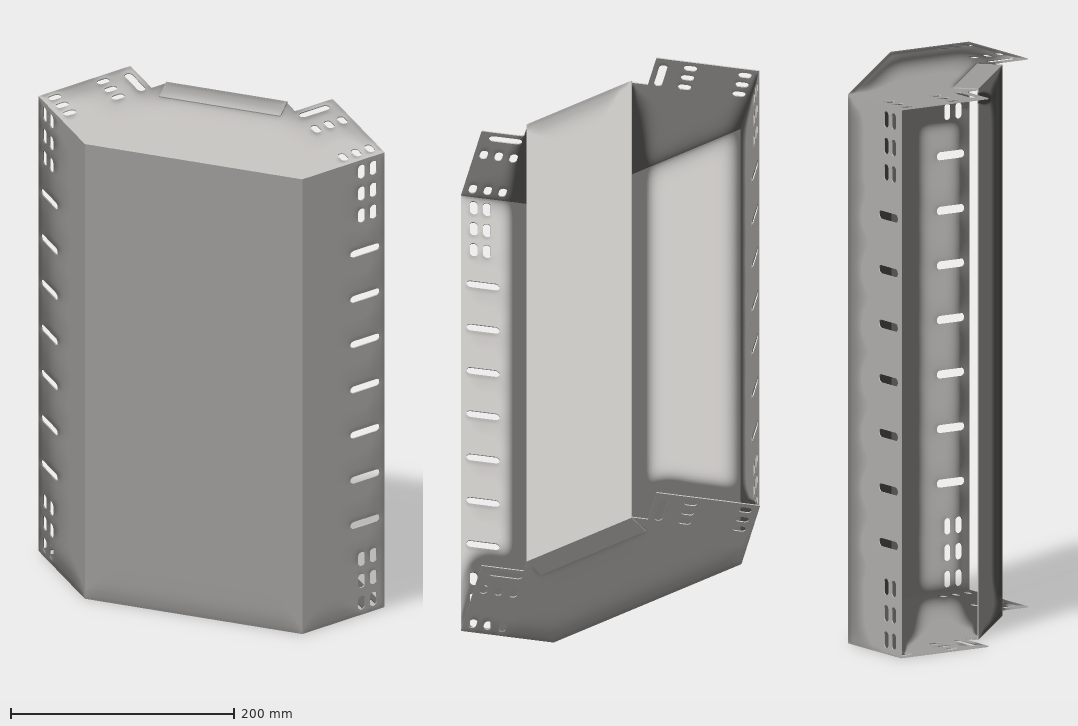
import cadquery as cq
import math

TOTAL_HEIGHT = 503.0
TOTAL_WIDTH = 322.0
TOTAL_DEPTH = 127.0
SHEET = 1.0

FOLD_ANGLE = 45.0
FRONT_WIDTH = 202.5
NOTCH_DEPTH = 38.5
TRAY_HEIGHT = TOTAL_HEIGHT - 2 * SHEET

COVER_WIDTH = 112.5
COVER_FLANGE = 23.0
COVER_BACK_INSET = 16.0

SMALL_SLOT_WIDTH = 7.0
LONG_SLOT_WIDTH = 7.5
SMALL_SLOT_LENGTH = 15.0
SMALL_SLOT_COLUMNS = [11.5, 23.5]
SMALL_SLOT_ROWS = 3
SMALL_SLOT_PITCH = 24.0
SMALL_SLOT_END = 13.0
LONG_SLOT_LENGTH = 30.0
LONG_SLOT_PLACE = 20.0
LONG_SLOTS = 7
LONG_SLOT_PITCH = 50.0

PLATE_SLOT_LENGTH = 12.0
PLATE_SLOT_OUT = [12.0, 62.0]
PLATE_SLOT_IN = [8.5, 22.0, 35.5]
PLATE_LONG_SLOT_OUT = 86.0
PLATE_LONG_SLOT_IN = 23.5

HALF_WIDTH = TOTAL_WIDTH / 2
HALF_FRONT = FRONT_WIDTH / 2
HALF_TRAY = TRAY_HEIGHT / 2
HALF_COVER = COVER_WIDTH / 2
ANGLE = math.radians(FOLD_ANGLE)
FRONT_Y = -TOTAL_DEPTH / 2
BACK_Y = TOTAL_DEPTH / 2
CORNER_Y = FRONT_Y + (HALF_WIDTH - HALF_FRONT) * math.tan(ANGLE)
TIP_X = HALF_WIDTH - (BACK_Y - CORNER_Y) / math.tan(ANGLE)
NOTCH_X = TIP_X - NOTCH_DEPTH * math.cos(ANGLE)
NOTCH_Y = BACK_Y - NOTCH_DEPTH * math.sin(ANGLE)
COVER_BACK_Y = BACK_Y - COVER_BACK_INSET
PLATE_BACK_Y = COVER_BACK_Y - SHEET
PLATE_BACK_X = NOTCH_X - (PLATE_BACK_Y - NOTCH_Y) / math.tan(ANGLE)


def mirrored_outline(right_points):
    """Close an outline from its right half and the mirror image of it."""
    left_points = [(-x, y) for x, y in reversed(right_points)]
    return cq.Workplane("XY").polyline(right_points + left_points).close()


def wall_section():
    """Section of the folded front and side panels."""
    inner_half_front = HALF_FRONT - SHEET * math.tan(ANGLE / 2)
    edge_x = HALF_WIDTH - SHEET * math.sin(ANGLE)
    edge_y = CORNER_Y + SHEET * math.cos(ANGLE)
    return mirrored_outline([
        (HALF_FRONT, FRONT_Y),
        (HALF_WIDTH, CORNER_Y),
        (edge_x, edge_y),
        (inner_half_front, FRONT_Y + SHEET),
    ])


def end_plate(bottom_z):
    """Flat plate closing one end of the tray, with a notch beside the cover on each side."""
    outline = mirrored_outline([
        (HALF_FRONT, FRONT_Y),
        (HALF_WIDTH, CORNER_Y),
        (TIP_X, BACK_Y),
        (NOTCH_X, NOTCH_Y),
        (PLATE_BACK_X, PLATE_BACK_Y),
    ])
    return outline.extrude(SHEET).translate((0, 0, bottom_z))


def panel_slot_cutters():
    """Slots through the right side panel."""
    plane = cq.Plane(
        origin=(HALF_WIDTH, CORNER_Y, 0),
        xDir=(-math.cos(ANGLE), -math.sin(ANGLE), 0),
        normal=(-math.sin(ANGLE), math.cos(ANGLE), 0),
    )
    small_places = []
    for row in range(SMALL_SLOT_ROWS):
        height = HALF_TRAY - SMALL_SLOT_END - row * SMALL_SLOT_PITCH
        for column in SMALL_SLOT_COLUMNS:
            small_places += [(column, height), (column, -height)]
    middle = (LONG_SLOTS - 1) / 2
    long_places = [(LONG_SLOT_PLACE, (i - middle) * LONG_SLOT_PITCH) for i in range(LONG_SLOTS)]
    small_slots = (
        cq.Workplane(plane).pushPoints(small_places)
        .slot2D(SMALL_SLOT_LENGTH, SMALL_SLOT_WIDTH, 90).extrude(SHEET, both=True)
    )
    long_slots = (
        cq.Workplane(plane).pushPoints(long_places)
        .slot2D(LONG_SLOT_LENGTH, LONG_SLOT_WIDTH).extrude(SHEET, both=True)
    )
    return small_slots.add(long_slots).combine()


def plate_slot_cutters():
    """Slots through both end plates on the right, with local x along the outer edge."""
    plane = cq.Plane(
        origin=(HALF_WIDTH, CORNER_Y, 0),
        xDir=(-math.cos(ANGLE), math.sin(ANGLE), 0),
        normal=(0, 0, 1),
    )
    small_places = [(out, inward) for out in PLATE_SLOT_OUT for inward in PLATE_SLOT_IN]
    small_slots = (
        cq.Workplane(plane).pushPoints(small_places)
        .slot2D(PLATE_SLOT_LENGTH, SMALL_SLOT_WIDTH).extrude(HALF_TRAY, both=True)
    )
    long_slots = (
        cq.Workplane(plane).center(PLATE_LONG_SLOT_OUT, PLATE_LONG_SLOT_IN)
        .slot2D(LONG_SLOT_LENGTH, LONG_SLOT_WIDTH, 90).extrude(HALF_TRAY, both=True)
    )
    return small_slots.add(long_slots).combine()


def make_tray():
    """Folded panels and end plates, slotted alike on the left and right."""
    walls = wall_section().extrude(HALF_TRAY, both=True)
    tray = walls.union(end_plate(-HALF_TRAY)).union(end_plate(HALF_TRAY - SHEET))
    for cutters in (panel_slot_cutters(), plate_slot_cutters()):
        tray = tray.cut(cutters).cut(cutters.mirror("YZ"))
    return tray


def make_cover():
    """Back strip with a flange lying on the outside of each end plate."""
    half_height = TOTAL_HEIGHT / 2
    flange_y = COVER_BACK_Y - COVER_FLANGE
    return (
        cq.Workplane("YZ")
        .polyline([
            (flange_y, half_height),
            (COVER_BACK_Y, half_height),
            (COVER_BACK_Y, -half_height),
            (flange_y, -half_height),
            (flange_y, -HALF_TRAY),
            (PLATE_BACK_Y, -HALF_TRAY),
            (PLATE_BACK_Y, HALF_TRAY),
            (flange_y, HALF_TRAY),
        ])
        .close()
        .extrude(HALF_COVER, both=True)
    )


tray = make_tray()
cover = make_cover()
result = cq.Compound.makeCompound([tray.val(), cover.val()])